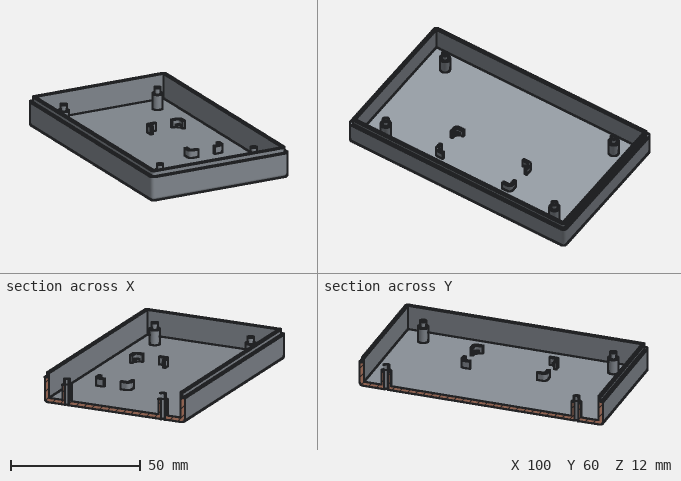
import cadquery as cq

length = 100.0
width = 60.0
height = 12.0
wall = 2.0
floor = 2.0
corner_radius = 1.5
bottom_radius = 1.5

lip_inset = 1.0
lip_height = 2.0
lip_corner_radius = 1.0
shoulder_z = height - lip_height

post_spacing_x = 78.0
post_spacing_y = 41.0
post_diameter = 4.0
post_top_z = 8.0
pin_diameter = 2.4
pin_top_z = 10.5
hole_diameter = 1.5

bracket_span_x = 35.3
bracket_span_y = 15.0
bracket_center_y = 11.4
bracket_leg = 3.9
bracket_thickness = 1.0
bracket_outer_radius = 1.5
bracket_inner_radius = 0.5
bracket_height = 3.0
ledge_leg = 1.6
ledge_height = 1.0


def make_shell():
    body = cq.Workplane("XY").box(length, width, shoulder_z, centered=(True, True, False))
    body = body.edges("|Z").fillet(corner_radius)
    body = body.faces("<Z").edges().fillet(bottom_radius)
    lip = (
        cq.Workplane("XY", origin=(0, 0, shoulder_z))
        .rect(length - 2 * lip_inset, width - 2 * lip_inset)
        .extrude(lip_height)
        .edges("|Z")
        .fillet(lip_corner_radius)
    )
    cavity = (
        cq.Workplane("XY", origin=(0, 0, floor))
        .rect(length - 2 * wall, width - 2 * wall)
        .extrude(height - floor)
    )
    return body.union(lip).cut(cavity)


def at_posts():
    return cq.Workplane("XY").rect(post_spacing_x, post_spacing_y, forConstruction=True).vertices()


def add_posts(part):
    posts = at_posts().circle(post_diameter / 2).extrude(post_top_z)
    pins = at_posts().circle(pin_diameter / 2).extrude(pin_top_z)
    holes = at_posts().circle(hole_diameter / 2).extrude(pin_top_z)
    return part.union(posts).union(pins).cut(holes)


def make_bracket():
    """L-shaped bracket with its outer corner at the origin and legs along +X and +Y."""
    base = cq.Workplane("XY", origin=(0, 0, floor))
    angle = (
        base.rect(bracket_leg, bracket_leg, centered=False)
        .extrude(bracket_height)
        .edges("|Z and <X and <Y")
        .fillet(bracket_outer_radius)
    )
    opening = (
        base.center(bracket_thickness, bracket_thickness)
        .rect(bracket_leg, bracket_leg, centered=False)
        .extrude(bracket_height)
        .edges("|Z and <X and <Y")
        .fillet(bracket_inner_radius)
    )
    ledge = (
        base.moveTo(bracket_thickness, bracket_thickness)
        .line(ledge_leg, 0)
        .line(-ledge_leg, ledge_leg)
        .close()
        .extrude(ledge_height)
    )
    return angle.cut(opening).union(ledge)


def add_brackets(part):
    quarter = make_bracket().translate((-bracket_span_x / 2, -bracket_span_y / 2, 0))
    half = quarter.union(quarter.mirror("YZ"))
    brackets = half.union(half.mirror("XZ"))
    return part.union(brackets.translate((0, bracket_center_y, 0)))


result = add_brackets(add_posts(make_shell()))